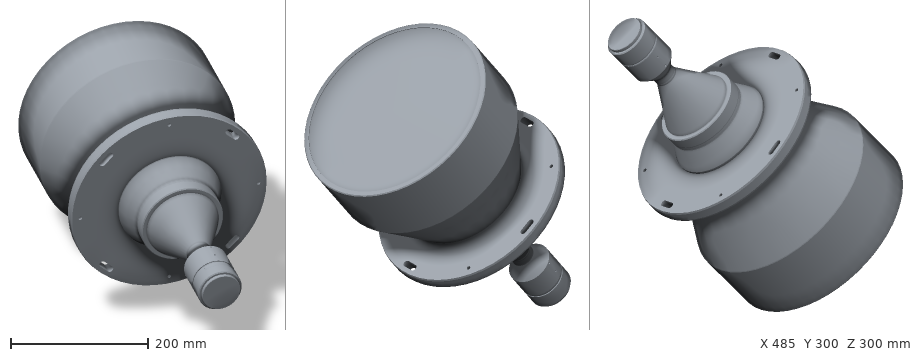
import cadquery as cq
import math

total_length = 485.0
body_diameter = 300.0
body_radius = body_diameter / 2

barrel_length = 101.0
barrel_front_chamfer = 1.5
barrel_rear_chamfer_length = 1.5
barrel_rear_chamfer_depth = 0.5
window_radius = 142.0
window_sag = 1.0

waist_start = 210.5
waist_radius = 96.0
waist_fillet_radius = 11.5

flange_start = 226.5
flange_thickness = 19.5
flange_end = flange_start + flange_thickness
flange_chamfer_length = 3.0
flange_chamfer_depth = 1.0

shoulder_radius = 78.5
shoulder_length = 4.0
collar_start = 281.5
collar_end = 307.0
collar_radius = 62.5
collar_chamfer = 1.5
collar_groove_length = 7.5

tail_cone_radius = 55.0
neck_start = 380.0
neck_end = 393.5
neck_radius = 17.5
neck_groove_start = 382.0

shallow_groove_depth = 0.25
shallow_groove_taper = 1.5

head_start = 412.5
head_diameter = 66.5
head_radius = head_diameter / 2
head_groove_start = 450.0
head_groove_end = 453.0
head_groove_depth = 1.5
head_groove_chamfer_length = 1.5
head_groove_chamfer_depth = 0.5
head_end = 479.5
head_end_chamfer = 1.5
spigot_radius = 29.0
spigot_chamfer = 0.75

flange_hole_count = 4
bolt_circle_radius = 137.0
pin_hole_diameter = 6.0
slot_length = 26.0
slot_width = 9.5

screw_hole_diameter = 3.0
screw_hole_depth = 2.5
screw_rings = ((415.5, 77.0), (435.5, 79.0))
screws_per_ring = 3

ring_window_end = 462.0
ring_window_depth = 0.75
ring_window_from = 25.0
ring_window_to = 121.5


def shallow_groove(start, end, radius):
    """Profile points of a shallow groove with tapered sides, from its start edge to its end edge."""
    floor = radius - shallow_groove_depth
    return [
        (start, radius),
        (start + shallow_groove_taper, floor),
        (end - shallow_groove_taper, floor),
        (end, radius),
    ]


def front_profile():
    """Open profile from the window centre, along the barrel and cone, to the flange face."""
    window_curve_radius = (window_radius**2 + window_sag**2) / (2 * window_sag)
    window_middle_sag = window_curve_radius - math.sqrt(window_curve_radius**2 - (window_radius / 2) ** 2)
    fillet_start = flange_start - waist_fillet_radius
    fillet_middle_offset = waist_fillet_radius * math.sqrt(0.5)
    return (
        cq.Workplane("XY")
        .moveTo(0, 0)
        .threePointArc((window_middle_sag, window_radius / 2), (window_sag, window_radius))
        .lineTo(0, window_radius)
        .lineTo(0, body_radius - barrel_front_chamfer)
        .lineTo(barrel_front_chamfer, body_radius)
        .lineTo(barrel_length - barrel_rear_chamfer_length, body_radius)
        .lineTo(barrel_length, body_radius - barrel_rear_chamfer_depth)
        .lineTo(waist_start, waist_radius)
        .lineTo(fillet_start, waist_radius)
        .threePointArc(
            (fillet_start + fillet_middle_offset, waist_radius + waist_fillet_radius - fillet_middle_offset),
            (flange_start, waist_radius + waist_fillet_radius),
        )
    )


def body():
    """Solid of revolution carrying every turned surface."""
    flange_rim = [
        (flange_start, body_radius - flange_chamfer_depth),
        (flange_start + flange_chamfer_length, body_radius),
        (flange_end - flange_chamfer_length, body_radius),
        (flange_end, body_radius - flange_chamfer_depth),
    ]
    rear_cone_and_collar = [
        (flange_end, shoulder_radius),
        (flange_end + shoulder_length, shoulder_radius),
        *shallow_groove(collar_start, collar_start + collar_groove_length, collar_radius),
        (collar_end - collar_chamfer, collar_radius),
        (collar_end, collar_radius - collar_chamfer),
    ]
    tail_cone_and_neck = [
        (collar_end, tail_cone_radius),
        (neck_start, neck_radius),
        *shallow_groove(neck_groove_start, neck_end, neck_radius),
    ]
    head_groove_floor = head_radius - head_groove_depth
    head = [
        (head_start, head_radius),
        (head_groove_start - head_groove_chamfer_length, head_radius),
        (head_groove_start, head_radius - head_groove_chamfer_depth),
        (head_groove_start, head_groove_floor),
        (head_groove_end, head_groove_floor),
        (head_groove_end, head_radius),
        (head_end - head_end_chamfer, head_radius),
        (head_end, head_radius - head_end_chamfer),
    ]
    spigot = [
        (head_end, spigot_radius),
        (total_length - spigot_chamfer, spigot_radius),
        (total_length, spigot_radius - spigot_chamfer),
        (total_length, 0),
    ]

    profile = front_profile()
    for x, radius in flange_rim + rear_cone_and_collar + tail_cone_and_neck + head + spigot:
        profile = profile.lineTo(x, radius)
    return profile.close().revolve(360, (0, 0, 0), (1, 0, 0))


def flange_cuts():
    """Tangential slots with pin holes halfway between them."""
    face = cq.Workplane("YZ").workplane(offset=flange_start)
    slots = (
        face.polarArray(bolt_circle_radius, 180 / flange_hole_count, 360, flange_hole_count)
        .slot2D(slot_length, slot_width, 90)
        .extrude(flange_thickness)
    )
    pins = (
        face.polarArray(bolt_circle_radius, 0, 360, flange_hole_count)
        .circle(pin_hole_diameter / 2)
        .extrude(flange_thickness)
    )
    return slots.union(pins)


def screw_hole(position, angle):
    """Radial blind hole in the head, turned about X from +Y."""
    return (
        cq.Workplane("XZ", origin=(position, head_radius, 0))
        .circle(screw_hole_diameter / 2)
        .extrude(screw_hole_depth)
        .rotate((0, 0, 0), (1, 0, 0), angle)
    )


def ring_window():
    """Sector of a thin ring, open to the groove at its front side."""
    return (
        cq.Workplane("XY")
        .moveTo(head_groove_end, head_radius - ring_window_depth)
        .lineTo(ring_window_end, head_radius - ring_window_depth)
        .lineTo(ring_window_end, head_radius + ring_window_depth)
        .lineTo(head_groove_end, head_radius + ring_window_depth)
        .close()
        .revolve(ring_window_to - ring_window_from, (0, 0, 0), (1, 0, 0))
        .rotate((0, 0, 0), (1, 0, 0), ring_window_from)
    )


result = body().cut(flange_cuts()).cut(ring_window())
for ring_position, first_angle in screw_rings:
    for index in range(screws_per_ring):
        result = result.cut(screw_hole(ring_position, first_angle + index * 360 / screws_per_ring))